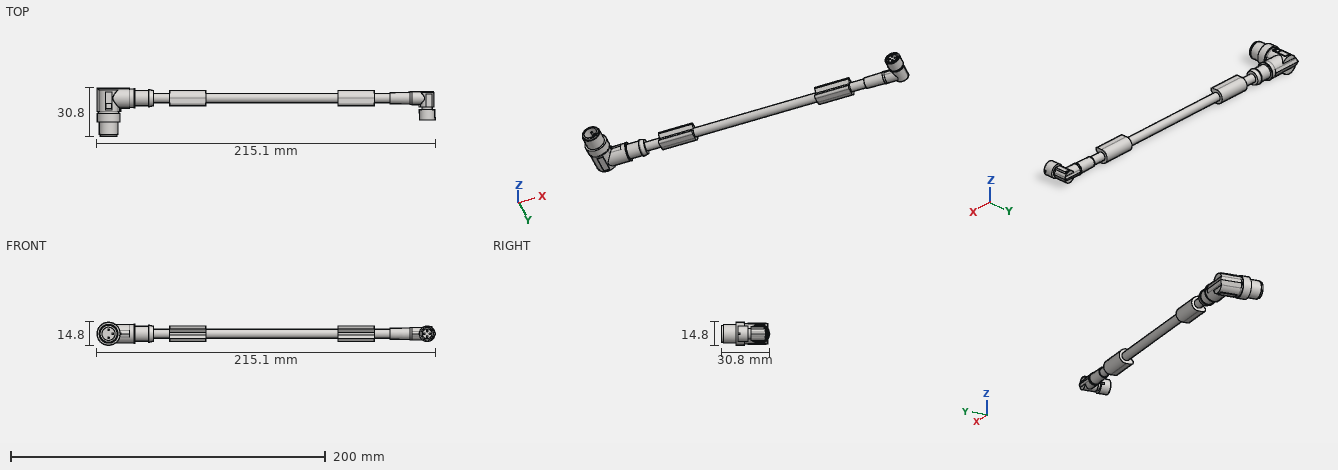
import cadquery as cq
import math


OVERALL_LENGTH = 215.11

CABLE_RADIUS = 3.0
SLEEVE_STARTS = (38.8, 145.8)
SLEEVE_LENGTH = 23.1
SLEEVE_HALF_SIZE = 4.95
SLEEVE_CORNER_RADIUS = 1.4
LABEL_MOUTH_HALF = 2.9
LABEL_FLOOR_HALF = 0.65
LABEL_FLOOR_Y = -2.9

PLUG_NUT_RADIUS = 7.38
PLUG_END_Y = -24.35
PLUG_BODY_RADIUS = 6.6
PLUG_BODY_PEAK = PLUG_NUT_RADIUS
PLUG_BODY_TOP_Y = 5.2
PLUG_BODY_BOTTOM_Y = -8.6
PLUG_NUT_TOP_Y = -9.7
PLUG_NUT_BOTTOM_Y = -15.2
PLUG_THREAD_RADIUS = 6.0
PLUG_TIP_RADIUS = 5.4
PLUG_TIP_LENGTH = 1.3
PLUG_ARM_RADIUS = 6.0
PLUG_ARM_PEAK = 6.45
PLUG_RIDGE_END_X = 13.4
PLUG_ARM_END_X = 16.3
PLUG_FLANGE_RADIUS = 6.2
PLUG_FLANGE_END_X = 16.9
PLUG_GRIP_RADIUS = 4.9
PLUG_GRIP_END_X = 25.3
PLUG_COLLAR_RADIUS = 5.45
PLUG_COLLAR_BAND = 0.8
PLUG_COLLAR_END_RADIUS = 4.8
PLUG_COLLAR_END_X = 28.7
PLUG_GUSSET_X = 7.8
PLUG_GUSSET_HALF_WIDTH = 0.6
PLUG_PAD_HEIGHT = 6.8
PLUG_PAD_HALF_WIDTH = 2.05
PLUG_PAD_TOP_Y = 3.9
PLUG_PAD_BOTTOM_Y = -7.5
PLUG_PAD_POCKET_TOP_Y = -3.3
PLUG_PAD_POCKET_BOTTOM_Y = -6.4
PLUG_PAD_POCKET_DEPTH = 0.6
PLUG_PAD_POCKET_MARGIN = 0.3
PLUG_RECESS_RADIUS = 4.2
PLUG_RECESS_DEPTH = 8.0
PIN_RADIUS = 0.5
PIN_CIRCLE_RADIUS = 2.6
PIN_INSET = 2.0
PIN_ANGLES = (90, 0, -90)

SOCKET_KEY_REACH = 5.2
SOCKET_X = OVERALL_LENGTH - PLUG_NUT_RADIUS - SOCKET_KEY_REACH
SOCKET_NUT_RADIUS = 4.95
SOCKET_KEY_WIDTH = 1.2
SOCKET_REAR_KEY_LENGTH = 2.0
SOCKET_FRONT_KEY_LENGTH = 1.5
SOCKET_BODY_RADIUS = 4.3
SOCKET_BODY_PEAK = 4.5
SOCKET_CROWN_REACH = 3.9
SOCKET_BODY_TOP_Y = 3.6
SOCKET_BODY_BOTTOM_Y = -5.6
SOCKET_NECK_RADIUS = 3.4
SOCKET_NUT_TOP_Y = -7.3
SOCKET_NUT_BOTTOM_Y = -13.9
SOCKET_ARM_RADIUS = 4.0
SOCKET_ARM_PEAK = 4.3
SOCKET_ARM_START_X = 192.9
SOCKET_FLANGE_RADIUS = 4.1
SOCKET_FLANGE_START_X = 191.6
SOCKET_GRIP_START_X = 178.8
SOCKET_GRIP_START_RADIUS = 3.55
SOCKET_GRIP_END_RADIUS = 3.8
SOCKET_GUSSET_X = SOCKET_X - 5.2
SOCKET_GUSSET_HALF_WIDTH = 0.6
SOCKET_PAD_START_X = SOCKET_X - 0.8
SOCKET_PAD_END_X = SOCKET_X + 3.0
SOCKET_PAD_TOP_Y = 2.8
SOCKET_PAD_HEIGHT = 4.6
SOCKET_GAP_OUTER_RADIUS = 4.0
SOCKET_GAP_INNER_RADIUS = 3.1
SOCKET_GAP_DEPTH = 5.0
CONTACT_RADIUS = 0.55
CONTACT_CIRCLE_RADIUS = 1.8
CONTACT_DEPTH = 4.0
CONTACT_COUNT = 4


def x_rod(start_x, end_x, radius):
    """Round rod on the cable line."""
    return cq.Workplane("YZ").workplane(offset=start_x).circle(radius).extrude(end_x - start_x)


def x_cone(start_x, end_x, start_radius, end_radius):
    """Tapered rod on the cable line."""
    rod = cq.Workplane("YZ").workplane(offset=start_x).circle(start_radius)
    return rod.workplane(offset=end_x - start_x).circle(end_radius).loft()


def y_rod(centre_x, top_y, bottom_y, radius, centre_z=0.0):
    """Round rod parallel to Y."""
    plane = cq.Workplane("XZ", origin=(0, top_y, 0)).center(centre_x, centre_z)
    return plane.circle(radius).extrude(top_y - bottom_y)


def box(x_range, y_range, z_range):
    """Box between pairs of limits along X, Y and Z."""
    lengths = [high - low for low, high in (x_range, y_range, z_range)]
    corner = (x_range[0], y_range[0], z_range[0])
    return cq.Workplane("XY").box(*lengths, centered=False).translate(corner)


def peaked_outline(plane, radius, peak):
    """Circle drawn out to a peak on both sides by tangent lines."""
    tangent_u = radius ** 2 / peak
    tangent_v = math.sqrt(radius ** 2 - tangent_u ** 2)
    outline = plane.moveTo(-peak, 0).lineTo(-tangent_u, tangent_v)
    outline = outline.threePointArc((0, radius), (tangent_u, tangent_v))
    outline = outline.lineTo(peak, 0).lineTo(tangent_u, -tangent_v)
    return outline.threePointArc((0, -radius), (-tangent_u, -tangent_v)).close()


def peaked_x_bar(start_x, end_x, radius, peak):
    """Bar along X with ridges on its +Y and -Y sides."""
    plane = cq.Workplane("YZ").workplane(offset=start_x)
    return peaked_outline(plane, radius, peak).extrude(end_x - start_x)


def peaked_y_bar(centre_x, top_y, bottom_y, radius, peak):
    """Bar along Y with ridges on its +X and -X sides."""
    plane = cq.Workplane("XZ", origin=(centre_x, top_y, 0))
    return peaked_outline(plane, radius, peak).extrude(top_y - bottom_y)


def marker_sleeve(start_x):
    """Sleeve around the cable: half round on its +Y side, square with soft corners on -Y."""
    half = SLEEVE_HALF_SIZE
    outline = cq.Workplane("YZ").workplane(offset=start_x).moveTo(-half, -half).lineTo(0, -half)
    outline = outline.threePointArc((half, 0), (0, half)).lineTo(-half, half).close()
    sleeve = outline.extrude(SLEEVE_LENGTH)
    return sleeve.edges("|X and <Y").fillet(SLEEVE_CORNER_RADIUS)


def label_groove(start_x):
    """Flared groove along the -Y side of a sleeve, just biting into the cable."""
    outline = [
        (-SLEEVE_HALF_SIZE, LABEL_MOUTH_HALF),
        (LABEL_FLOOR_Y, LABEL_FLOOR_HALF),
        (LABEL_FLOOR_Y, -LABEL_FLOOR_HALF),
        (-SLEEVE_HALF_SIZE, -LABEL_MOUTH_HALF),
    ]
    profile = cq.Workplane("YZ").workplane(offset=start_x).polyline(outline).close()
    return profile.extrude(SLEEVE_LENGTH)


def plug_housing():
    """Elbow housing: ridged body along Y, ridged arm along X and a corner gusset."""
    body = peaked_y_bar(0, PLUG_BODY_TOP_Y, PLUG_BODY_BOTTOM_Y, PLUG_BODY_RADIUS, PLUG_BODY_PEAK)
    arm = peaked_x_bar(0, PLUG_RIDGE_END_X, PLUG_ARM_RADIUS, PLUG_ARM_PEAK)

    crown = peaked_x_bar(-PLUG_BODY_PEAK, 0, PLUG_ARM_RADIUS, PLUG_ARM_PEAK)
    crown_limit = peaked_y_bar(0, PLUG_ARM_PEAK, 0, PLUG_BODY_RADIUS, PLUG_BODY_PEAK)

    gusset = box(
        (0, PLUG_GUSSET_X),
        (PLUG_BODY_BOTTOM_Y, 0),
        (-PLUG_GUSSET_HALF_WIDTH, PLUG_GUSSET_HALF_WIDTH),
    )
    return body.union(arm).union(crown.intersect(crown_limit)).union(gusset)


def add_plug_pads(part):
    """Flat pads on the +Z and -Z sides of the body, the upper one with a sunk window."""
    pads = box(
        (-PLUG_PAD_HALF_WIDTH, PLUG_PAD_HALF_WIDTH),
        (PLUG_PAD_BOTTOM_Y, PLUG_PAD_TOP_Y),
        (-PLUG_PAD_HEIGHT, PLUG_PAD_HEIGHT),
    )
    window_half_width = PLUG_PAD_HALF_WIDTH - PLUG_PAD_POCKET_MARGIN
    window = box(
        (-window_half_width, window_half_width),
        (PLUG_PAD_POCKET_BOTTOM_Y, PLUG_PAD_POCKET_TOP_Y),
        (PLUG_PAD_HEIGHT - PLUG_PAD_POCKET_DEPTH, PLUG_PAD_HEIGHT),
    )
    return part.union(pads).cut(window)


def plug_grip():
    """Round end of the arm, flange, cable grip and tapered end collar."""
    profile = [
        (PLUG_RIDGE_END_X, 0),
        (PLUG_RIDGE_END_X, PLUG_ARM_RADIUS),
        (PLUG_ARM_END_X, PLUG_ARM_RADIUS),
        (PLUG_ARM_END_X, PLUG_FLANGE_RADIUS),
        (PLUG_FLANGE_END_X, PLUG_FLANGE_RADIUS),
        (PLUG_FLANGE_END_X, PLUG_GRIP_RADIUS),
        (PLUG_GRIP_END_X, PLUG_GRIP_RADIUS),
        (PLUG_GRIP_END_X, PLUG_COLLAR_RADIUS),
        (PLUG_GRIP_END_X + PLUG_COLLAR_BAND, PLUG_COLLAR_RADIUS),
        (PLUG_COLLAR_END_X, PLUG_COLLAR_END_RADIUS),
        (PLUG_COLLAR_END_X, 0),
    ]
    return cq.Workplane("XY").polyline(profile).close().revolve(360, (0, 0, 0), (1, 0, 0))


def plug_nose():
    """Neck, coupling nut and threaded barrel with a pin recess."""
    tip_top_y = PLUG_END_Y + PLUG_TIP_LENGTH
    nose = y_rod(0, PLUG_BODY_BOTTOM_Y, PLUG_NUT_TOP_Y, PLUG_BODY_RADIUS)
    nose = nose.union(y_rod(0, PLUG_NUT_TOP_Y, PLUG_NUT_BOTTOM_Y, PLUG_NUT_RADIUS))
    nose = nose.union(y_rod(0, PLUG_NUT_BOTTOM_Y, tip_top_y, PLUG_THREAD_RADIUS))
    nose = nose.union(y_rod(0, tip_top_y, PLUG_END_Y, PLUG_TIP_RADIUS))

    recess_floor_y = PLUG_END_Y + PLUG_RECESS_DEPTH
    nose = nose.cut(y_rod(0, recess_floor_y, PLUG_END_Y, PLUG_RECESS_RADIUS))
    for angle in PIN_ANGLES:
        pin_x = PIN_CIRCLE_RADIUS * math.cos(math.radians(angle))
        pin_z = PIN_CIRCLE_RADIUS * math.sin(math.radians(angle))
        pin = y_rod(pin_x, PLUG_NUT_BOTTOM_Y, PLUG_END_Y + PIN_INSET, PIN_RADIUS, pin_z)
        nose = nose.union(pin)
    return nose


def socket_housing():
    """Small elbow housing with ridges, a corner gusset and a flat pad on top."""
    body = peaked_y_bar(
        SOCKET_X, SOCKET_BODY_TOP_Y, SOCKET_BODY_BOTTOM_Y, SOCKET_BODY_RADIUS, SOCKET_BODY_PEAK
    )
    arm = peaked_x_bar(SOCKET_ARM_START_X, SOCKET_X, SOCKET_ARM_RADIUS, SOCKET_ARM_PEAK)

    crown_end_x = SOCKET_X + SOCKET_CROWN_REACH
    crown = peaked_x_bar(SOCKET_X, crown_end_x, SOCKET_ARM_RADIUS, SOCKET_ARM_PEAK)
    crown_limit = peaked_y_bar(SOCKET_X, SOCKET_ARM_PEAK, 0, SOCKET_BODY_RADIUS, SOCKET_BODY_PEAK)

    gusset = box(
        (SOCKET_GUSSET_X, SOCKET_X),
        (SOCKET_BODY_BOTTOM_Y, 0),
        (-SOCKET_GUSSET_HALF_WIDTH, SOCKET_GUSSET_HALF_WIDTH),
    )
    pad = box(
        (SOCKET_PAD_START_X, SOCKET_PAD_END_X),
        (SOCKET_BODY_BOTTOM_Y, SOCKET_PAD_TOP_Y),
        (0, SOCKET_PAD_HEIGHT),
    )
    return body.union(arm).union(crown.intersect(crown_limit)).union(gusset).union(pad)


def socket_grip():
    """Tapered cable grip and flange."""
    grip = x_cone(
        SOCKET_GRIP_START_X, SOCKET_FLANGE_START_X, SOCKET_GRIP_START_RADIUS, SOCKET_GRIP_END_RADIUS
    )
    return grip.union(x_rod(SOCKET_FLANGE_START_X, SOCKET_ARM_START_X, SOCKET_FLANGE_RADIUS))


def socket_nose():
    """Neck and coupling nut around a contact insert."""
    nose = y_rod(SOCKET_X, SOCKET_BODY_BOTTOM_Y, SOCKET_NUT_TOP_Y, SOCKET_NECK_RADIUS)
    nose = nose.union(y_rod(SOCKET_X, SOCKET_NUT_TOP_Y, SOCKET_NUT_BOTTOM_Y, SOCKET_NUT_RADIUS))
    key_half_width = SOCKET_KEY_WIDTH / 2
    rear_key = box(
        (SOCKET_X - SOCKET_KEY_REACH, SOCKET_X),
        (SOCKET_NUT_TOP_Y - SOCKET_REAR_KEY_LENGTH, SOCKET_NUT_TOP_Y),
        (-key_half_width, key_half_width),
    )
    front_key = box(
        (SOCKET_X, SOCKET_X + SOCKET_KEY_REACH),
        (SOCKET_NUT_BOTTOM_Y, SOCKET_NUT_BOTTOM_Y + SOCKET_FRONT_KEY_LENGTH),
        (-key_half_width, key_half_width),
    )
    nose = nose.union(rear_key).union(front_key)

    gap_floor_y = SOCKET_NUT_BOTTOM_Y + SOCKET_GAP_DEPTH
    gap = y_rod(SOCKET_X, gap_floor_y, SOCKET_NUT_BOTTOM_Y, SOCKET_GAP_OUTER_RADIUS)
    insert = y_rod(SOCKET_X, gap_floor_y, SOCKET_NUT_BOTTOM_Y, SOCKET_GAP_INNER_RADIUS)
    nose = nose.cut(gap.cut(insert))

    contact_floor_y = SOCKET_NUT_BOTTOM_Y + CONTACT_DEPTH
    for index in range(CONTACT_COUNT):
        angle = 2 * math.pi * index / CONTACT_COUNT
        contact_x = SOCKET_X + CONTACT_CIRCLE_RADIUS * math.cos(angle)
        contact_z = CONTACT_CIRCLE_RADIUS * math.sin(angle)
        contact = y_rod(contact_x, contact_floor_y, SOCKET_NUT_BOTTOM_Y, CONTACT_RADIUS, contact_z)
        nose = nose.cut(contact)
    return nose


plug = add_plug_pads(plug_housing()).union(plug_grip()).union(plug_nose())
socket = socket_housing().union(socket_grip()).union(socket_nose())

result = x_rod(PLUG_GRIP_END_X, SOCKET_FLANGE_START_X, CABLE_RADIUS)
for sleeve_start in SLEEVE_STARTS:
    result = result.union(marker_sleeve(sleeve_start)).cut(label_groove(sleeve_start))
result = result.union(plug).union(socket)